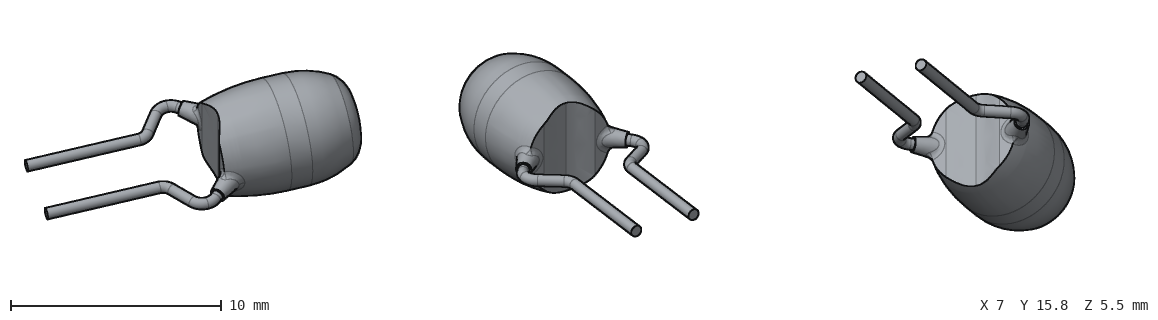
import cadquery as cq
import math

body_diameter = 5.5
body_radius = body_diameter / 2
far_end_y = 7.88
band_top_y = 4.98
band_bottom_y = 3.94
shoulder_radius = 4.73
crown_radius = 1.32
taper_radius = 10.4

land_y = 0.79
arch_top_y = 1.13
arch_half_width = 1.42
arch_shoulder_x = 1.1
arch_shoulder_y = 0.85

wire_radius = 0.28
outer_half_width = 3.5
lead_pitch = 3.18
leg_x = lead_pitch / 2
leg_end_y = -7.88
leg_top_y = -2.29
elbow_y = -0.43
knee_radius = 0.63
diagonal_angle = math.radians(35)

collar_angle = math.radians(48)
collar_bend_radius = 0.74
collar_tip_x = 2.88
collar_tip_radius = 0.38
collar_length = 1.89
collar_taper = math.radians(8)
collar_fillet = 0.4

collar_joint_inner_x = 1.58
collar_joint_outer_x = 2.49
collar_joint_low_y = 0.63
collar_joint_high_y = 1.58
collar_joint_reach_z = 0.55


def arc_point(center, radius, angle):
    """Point on a circle in the XY plane, with the angle measured from +X."""
    return center[0] + radius * math.cos(angle), center[1] + radius * math.sin(angle)


def make_body():
    shoulder_center = (body_radius - shoulder_radius, band_top_y)
    crown_center_y = far_end_y - crown_radius
    join_angle = math.asin((crown_center_y - band_top_y) / (shoulder_radius - crown_radius))
    crown_center_x, _ = arc_point(shoulder_center, shoulder_radius - crown_radius, join_angle)
    crown_center = (crown_center_x, crown_center_y)
    crown_middle = (join_angle + math.pi / 2) / 2

    taper_center = (body_radius - taper_radius, band_bottom_y)
    taper_end = math.asin((land_y - band_bottom_y) / taper_radius)

    profile = (
        cq.Workplane("XY")
        .moveTo(0, land_y)
        .lineTo(*arc_point(taper_center, taper_radius, taper_end))
        .threePointArc(
            arc_point(taper_center, taper_radius, taper_end / 2),
            (body_radius, band_bottom_y),
        )
        .lineTo(body_radius, band_top_y)
        .threePointArc(
            arc_point(shoulder_center, shoulder_radius, join_angle / 2),
            arc_point(shoulder_center, shoulder_radius, join_angle),
        )
        .threePointArc(
            arc_point(crown_center, crown_radius, crown_middle),
            (crown_center_x, far_end_y),
        )
        .lineTo(0, far_end_y)
        .close()
    )
    return profile.revolve(360, (0, 0, 0), (0, 1, 0))


def make_arch_cutter():
    """Prism that hollows the near end: two mirrored S-curves that are level at the land and at the top."""
    level = (1, 0)
    arch_edge = (arch_half_width, land_y)
    arch_top = (0, arch_top_y)
    return (
        cq.Workplane("XY", origin=(0, 0, -body_radius))
        .moveTo(-arch_half_width, land_y)
        .spline(
            [(-arch_shoulder_x, arch_shoulder_y), arch_top],
            tangents=[level, level],
            includeCurrent=True,
        )
        .spline(
            [(arch_shoulder_x, arch_shoulder_y), arch_edge],
            tangents=[level, level],
            includeCurrent=True,
        )
        .close()
        .extrude(body_diameter)
    )


def collar_tip():
    """Center of the collar tip, on the line that leaves the upper bend at the collar angle."""
    bend_center = (outer_half_width - wire_radius - collar_bend_radius, elbow_y)
    bend_end = arc_point(bend_center, collar_bend_radius, math.pi / 2 - collar_angle)
    tip_y = bend_end[1] + (bend_end[0] - collar_tip_x) * math.tan(collar_angle)
    return collar_tip_x, tip_y


def make_collar():
    tip_x, tip_y = collar_tip()
    axis = cq.Vector(-math.cos(collar_angle), math.sin(collar_angle), 0)
    root_radius = collar_tip_radius + collar_length * math.tan(collar_taper)
    cone = cq.Solid.makeCone(
        collar_tip_radius, root_radius, collar_length, cq.Vector(tip_x, tip_y, 0), axis
    )
    return cq.Workplane(obj=cone)


def make_lead():
    elbow_x = outer_half_width - wire_radius

    knee_center = (leg_x + knee_radius, leg_top_y)
    knee_turn = math.pi / 2 - diagonal_angle
    knee_end = arc_point(knee_center, knee_radius, math.pi - knee_turn)

    slope = math.tan(diagonal_angle)
    gap = elbow_y - knee_end[1] - slope * (elbow_x - knee_end[0])
    elbow_radius = gap / (math.sin(knee_turn) - slope * (1 - math.cos(knee_turn)))
    elbow_center = (elbow_x - elbow_radius, elbow_y)

    bend_center = (elbow_x - collar_bend_radius, elbow_y)
    bend_turn = math.pi / 2 - collar_angle

    path = (
        cq.Workplane("XY")
        .moveTo(leg_x, leg_end_y)
        .lineTo(leg_x, leg_top_y)
        .threePointArc(arc_point(knee_center, knee_radius, math.pi - knee_turn / 2), knee_end)
        .lineTo(*arc_point(elbow_center, elbow_radius, -knee_turn))
        .threePointArc(
            arc_point(elbow_center, elbow_radius, -knee_turn / 2), (elbow_x, elbow_y)
        )
        .threePointArc(
            arc_point(bend_center, collar_bend_radius, bend_turn / 2),
            arc_point(bend_center, collar_bend_radius, bend_turn),
        )
        .lineTo(*collar_tip())
    )
    section = cq.Workplane("XZ", origin=(leg_x, leg_end_y, 0)).circle(wire_radius)
    return section.sweep(path)


def mirrored_pair(shape):
    return shape.union(shape.mirror("YZ"))


body = make_body().cut(make_arch_cutter())
collars = mirrored_pair(make_collar())
leads = mirrored_pair(make_lead())

joint_edges = cq.selectors.BoxSelector(
    (collar_joint_inner_x, collar_joint_low_y, -collar_joint_reach_z),
    (collar_joint_outer_x, collar_joint_high_y, collar_joint_reach_z),
) + cq.selectors.BoxSelector(
    (-collar_joint_outer_x, collar_joint_low_y, -collar_joint_reach_z),
    (-collar_joint_inner_x, collar_joint_high_y, collar_joint_reach_z),
)
result = body.union(collars).edges(joint_edges).fillet(collar_fillet).union(leads)